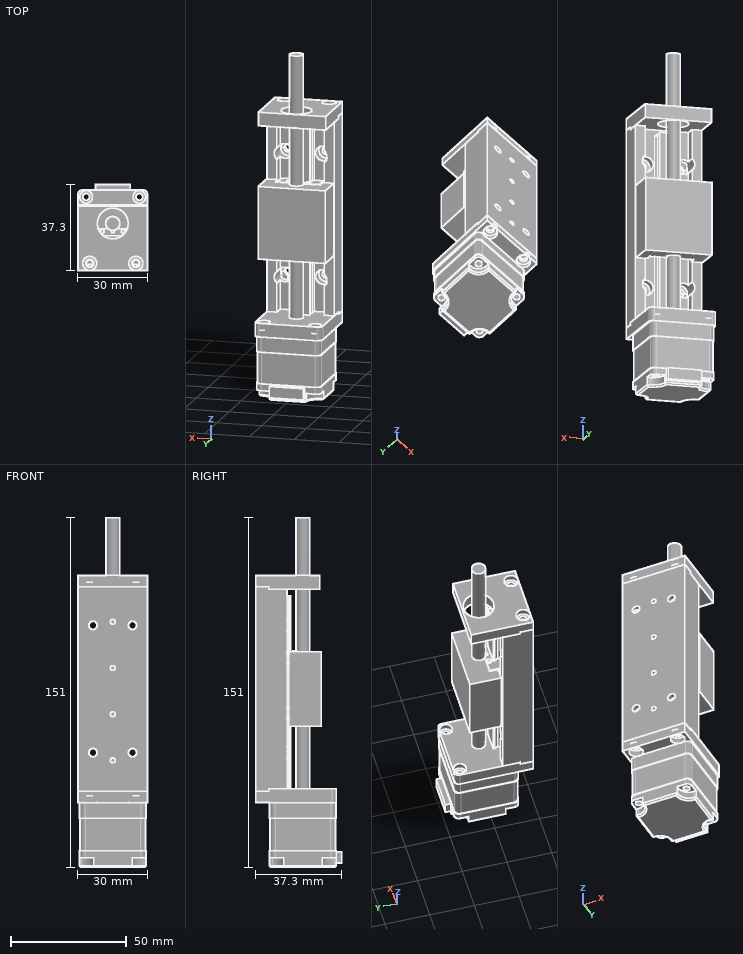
import cadquery as cq

FRAME_WIDTH = 30.0
FRAME_BOTTOM = 28.0
FRAME_TOP = 126.1
PLATE_THICKNESS = 6.0
STEP_HEIGHT = 1.0
STEP_DEPTH = 5.7
BASE_DEPTH = 13.6
BASE_BOTTOM = FRAME_BOTTOM + PLATE_THICKNESS - STEP_HEIGHT
BASE_TOP = FRAME_TOP - PLATE_THICKNESS + STEP_HEIGHT
BASE_MID = (BASE_BOTTOM + BASE_TOP) / 2
TOP_PLATE_DEPTH = 27.8

SCREW_Y = 20.4
SCREW_DIAMETER = 6.0
SCREW_TOP = 151.0
MOTOR_FLANGE_WIDTH = 28.8
MOTOR_CORE_WIDTH = 28.4
MOTOR_CORNER_RADIUS = 2.3
MOTOR_CAP_HEIGHT = 7.1
MOTOR_CORE_TOP = 21.1
MOTOR_EDGE_CHAMFER = 0.8
MOTOR_HOLE_SPACING = 23.0
MOTOR_HOLE_DIAMETER = 2.9
MOTOR_COUNTERBORE_DIAMETER = 5.5
NOTCH_HEIGHT = 4.1
NOTCH_DIAMETER = 10.0
NOTCH_CENTER = 13.3
CONNECTOR_WIDTH = 15.1
CONNECTOR_BACK = 37.3
CONNECTOR_BOTTOM = 1.8
CONNECTOR_TOP = 6.8

BOTTOM_PLATE_DEPTH = 34.9
BOTTOM_PLATE_CORNER_RADIUS = 2.0

CLEARANCE_DIAMETER = 3.5
PLATE_COUNTERBORE_DIAMETER = 6.0
PLATE_COUNTERBORE_DEPTH = 3.0
PLATE_HOLE_SPACING = 20.0
PLATE_HOLE_Y = 3.2
TAPPED_DIAMETER = 2.9
TOP_PLATE_OPENING_DIAMETER = 13.3

MOUNT_HOLE_SPACING_X = 17.0
MOUNT_HOLE_SPACING_Z = 55.0
MOUNT_HOLE_DIAMETER = 3.5
MOUNT_COUNTERBORE_DIAMETER = 6.5
MOUNT_SEAT_Y = 2.9
RAIL_SCREW_DIAMETER = 2.1
RAIL_SCREW_PITCH = 20.0
RAIL_SCREW_COUNT = 4
RAIL_SCREW_FIRST_Z = 46.2

CHANNEL_WIDTH = 21.1
RAIL_WIDTH = 9.0
RAIL_FLOOR_Y = 8.0
RAIL_TOP_Y = 15.1
RAIL_BOTTOM = FRAME_BOTTOM + PLATE_THICKNESS
RAIL_END = 117.3
RAIL_GROOVE_TOP_Y = 14.3
RAIL_GROOVE_BOTTOM_Y = 11.3
RAIL_GROOVE_DEPTH = 0.9

SLIDER_MID = 78.4
SLIDER_CORE_LENGTH = 19.0
SLIDER_CAPPED_LENGTH = 27.2
SLIDER_LENGTH = 29.0
SLIDER_CORE_WIDTH = 20.0
SLIDER_CAP_WIDTH = 19.3
SLIDER_SEAL_WIDTH = 18.7
SLIDER_BOTTOM_Y = 10.0
SLIDER_TOP_Y = 18.1
SEAL_FEATURE_Y = 16.9
SEAL_SCREW_SPACING = 9.0
SEAL_SCREW_DIAMETER = 1.7
SEAL_SCREW_HEIGHT = 0.8
OIL_HOLE_DIAMETER = 1.2
OIL_HOLE_DEPTH = 1.5

BLOCK_BOTTOM = 60.9
BLOCK_TOP = 93.2
BLOCK_FRONT_Y = 14.3
BLOCK_BACK_Y = 28.4


def box(width, y_front, y_back, z_bottom, z_top):
    """A block centred on the mid-plane."""
    return (
        cq.Workplane("XY")
        .box(width, y_back - y_front, z_top - z_bottom, centered=(True, False, False))
        .translate((0, y_front, z_bottom))
    )


def cylinder(diameter, x, y, z_bottom, z_top):
    """A round bar along Z."""
    return cq.Workplane("XY", origin=(x, y, z_bottom)).circle(diameter / 2).extrude(z_top - z_bottom)


def cylinder_y(diameter, x, z, y_front, y_back):
    """A round bar along Y."""
    return cq.Workplane("XZ", origin=(x, y_front, z)).circle(diameter / 2).extrude(y_front - y_back)


def mirrored_x(spacing):
    """The two X places of a symmetric pair."""
    return (-spacing / 2, spacing / 2)


def make_base():
    base = box(FRAME_WIDTH, 0, BASE_DEPTH, BASE_BOTTOM, BASE_TOP)
    base = base.cut(box(FRAME_WIDTH, STEP_DEPTH, BASE_DEPTH, BASE_BOTTOM, BASE_BOTTOM + STEP_HEIGHT))
    base = base.cut(box(FRAME_WIDTH, STEP_DEPTH, BASE_DEPTH, BASE_TOP - STEP_HEIGHT, BASE_TOP))
    base = base.cut(box(CHANNEL_WIDTH, RAIL_FLOOR_Y, BASE_DEPTH, BASE_BOTTOM, BASE_TOP))

    low_z = BASE_MID - MOUNT_HOLE_SPACING_Z / 2
    high_z = BASE_MID + MOUNT_HOLE_SPACING_Z / 2
    for x in mirrored_x(MOUNT_HOLE_SPACING_X):
        for z in (low_z, high_z):
            base = base.cut(cylinder_y(MOUNT_HOLE_DIAMETER, x, z, 0, MOUNT_SEAT_Y))
            base = base.cut(cylinder_y(MOUNT_COUNTERBORE_DIAMETER, x, z, MOUNT_SEAT_Y, BASE_DEPTH))

    for i in range(RAIL_SCREW_COUNT):
        z = RAIL_SCREW_FIRST_Z + i * RAIL_SCREW_PITCH
        base = base.cut(cylinder_y(RAIL_SCREW_DIAMETER, 0, z, 0, RAIL_FLOOR_Y))

    for x in mirrored_x(PLATE_HOLE_SPACING):
        base = base.cut(cylinder(TAPPED_DIAMETER, x, PLATE_HOLE_Y, BASE_BOTTOM, low_z))
        base = base.cut(cylinder(TAPPED_DIAMETER, x, PLATE_HOLE_Y, high_z, BASE_TOP))
    return base


def make_top_plate():
    step_z = FRAME_TOP - PLATE_THICKNESS
    plate = box(FRAME_WIDTH, 0, TOP_PLATE_DEPTH, step_z, FRAME_TOP)
    plate = plate.cut(box(FRAME_WIDTH, 0, STEP_DEPTH, step_z, BASE_TOP))
    plate = plate.cut(cylinder(TOP_PLATE_OPENING_DIAMETER, 0, SCREW_Y, step_z, FRAME_TOP))
    seat_z = FRAME_TOP - PLATE_COUNTERBORE_DEPTH
    for x in mirrored_x(PLATE_HOLE_SPACING):
        plate = plate.cut(cylinder(CLEARANCE_DIAMETER, x, PLATE_HOLE_Y, step_z, FRAME_TOP))
        plate = plate.cut(cylinder(PLATE_COUNTERBORE_DIAMETER, x, PLATE_HOLE_Y, seat_z, FRAME_TOP))
    return plate


def make_bottom_plate():
    top = FRAME_BOTTOM + PLATE_THICKNESS
    plate = box(FRAME_WIDTH, 0, BOTTOM_PLATE_DEPTH, FRAME_BOTTOM, top)
    plate = plate.edges("|Z and >Y").fillet(BOTTOM_PLATE_CORNER_RADIUS)
    plate = plate.cut(box(FRAME_WIDTH, 0, STEP_DEPTH, BASE_BOTTOM, top))
    plate = plate.cut(cylinder(SCREW_DIAMETER, 0, SCREW_Y, FRAME_BOTTOM, top))

    seat_z = FRAME_BOTTOM + PLATE_COUNTERBORE_DEPTH
    for x in mirrored_x(PLATE_HOLE_SPACING):
        plate = plate.cut(cylinder(CLEARANCE_DIAMETER, x, PLATE_HOLE_Y, FRAME_BOTTOM, top))
        plate = plate.cut(cylinder(PLATE_COUNTERBORE_DIAMETER, x, PLATE_HOLE_Y, FRAME_BOTTOM, seat_z))

    seat_z = top - PLATE_COUNTERBORE_DEPTH
    y = SCREW_Y + MOTOR_HOLE_SPACING / 2
    for x in mirrored_x(MOTOR_HOLE_SPACING):
        plate = plate.cut(cylinder(MOTOR_HOLE_DIAMETER, x, y, FRAME_BOTTOM, top))
        plate = plate.cut(cylinder(MOTOR_COUNTERBORE_DIAMETER, x, y, seat_z, top))
    return plate


def motor_section(width, z_bottom, z_top):
    """A square length of motor housing with rounded corners, centred on the screw."""
    section = box(width, SCREW_Y - width / 2, SCREW_Y + width / 2, z_bottom, z_top)
    return section.edges("|Z").fillet(MOTOR_CORNER_RADIUS)


def corner_notch():
    """The relief below the (+X, +Y) corner of the motor: a quarter round running out square."""
    radius = NOTCH_DIAMETER / 2
    inner = NOTCH_CENTER - radius
    outer = NOTCH_CENTER + radius
    return (
        cq.Workplane("XY")
        .moveTo(inner, outer)
        .lineTo(inner, NOTCH_CENTER)
        .radiusArc((NOTCH_CENTER, inner), -radius)
        .lineTo(outer, inner)
        .lineTo(outer, outer)
        .close()
        .extrude(NOTCH_HEIGHT)
    )


def make_motor():
    cap = motor_section(MOTOR_FLANGE_WIDTH, 0, MOTOR_CAP_HEIGHT)
    notch = corner_notch()
    for i in range(4):
        cap = cap.cut(notch.rotate((0, 0, 0), (0, 0, 1), 90 * i).translate((0, SCREW_Y, 0)))
    cap = cap.faces("<Z").chamfer(MOTOR_EDGE_CHAMFER)

    motor = cap.union(motor_section(MOTOR_CORE_WIDTH, MOTOR_CAP_HEIGHT, MOTOR_CORE_TOP))
    motor = motor.union(motor_section(MOTOR_FLANGE_WIDTH, MOTOR_CORE_TOP, FRAME_BOTTOM))
    motor = motor.union(box(CONNECTOR_WIDTH, SCREW_Y, CONNECTOR_BACK, CONNECTOR_BOTTOM, CONNECTOR_TOP))
    for x in mirrored_x(MOTOR_HOLE_SPACING):
        for y in (SCREW_Y - MOTOR_HOLE_SPACING / 2, SCREW_Y + MOTOR_HOLE_SPACING / 2):
            motor = motor.cut(cylinder(MOTOR_HOLE_DIAMETER, x, y, 0, FRAME_BOTTOM))

    return motor.union(cylinder(SCREW_DIAMETER, 0, SCREW_Y, MOTOR_CORE_TOP, SCREW_TOP))


def make_rail():
    half = RAIL_WIDTH / 2
    groove_mid_y = (RAIL_GROOVE_TOP_Y + RAIL_GROOVE_BOTTOM_Y) / 2
    right_side = [
        (half, RAIL_FLOOR_Y),
        (half, RAIL_GROOVE_BOTTOM_Y),
        (half - RAIL_GROOVE_DEPTH, groove_mid_y),
        (half, RAIL_GROOVE_TOP_Y),
        (half, RAIL_TOP_Y),
    ]
    left_side = [(-x, y) for x, y in reversed(right_side)]
    return (
        cq.Workplane("XY", origin=(0, 0, RAIL_BOTTOM))
        .polyline(right_side + left_side)
        .close()
        .extrude(RAIL_END - RAIL_BOTTOM)
    )


def slider_section(width, length):
    """A length of slider, centred along its travel."""
    return box(width, SLIDER_BOTTOM_Y, SLIDER_TOP_Y, SLIDER_MID - length / 2, SLIDER_MID + length / 2)


def make_slider(rail):
    slider = slider_section(SLIDER_CORE_WIDTH, SLIDER_CORE_LENGTH)
    slider = slider.union(slider_section(SLIDER_CAP_WIDTH, SLIDER_CAPPED_LENGTH))
    slider = slider.union(slider_section(SLIDER_SEAL_WIDTH, SLIDER_LENGTH))

    bottom = SLIDER_MID - SLIDER_LENGTH / 2
    top = SLIDER_MID + SLIDER_LENGTH / 2
    head_bottom = bottom - SEAL_SCREW_HEIGHT
    head_top = top + SEAL_SCREW_HEIGHT
    for x in mirrored_x(SEAL_SCREW_SPACING):
        slider = slider.union(cylinder(SEAL_SCREW_DIAMETER, x, SEAL_FEATURE_Y, head_bottom, head_top))
    slider = slider.cut(cylinder(OIL_HOLE_DIAMETER, 0, SEAL_FEATURE_Y, bottom, bottom + OIL_HOLE_DEPTH))
    slider = slider.cut(cylinder(OIL_HOLE_DIAMETER, 0, SEAL_FEATURE_Y, top - OIL_HOLE_DEPTH, top))

    slider = slider.cut(rail)
    return slider.cut(cylinder(SCREW_DIAMETER, 0, SCREW_Y, bottom, top))


def make_nut_block():
    block = box(FRAME_WIDTH, BLOCK_FRONT_Y, BLOCK_BACK_Y, BLOCK_BOTTOM, BLOCK_TOP)
    block = block.cut(box(SLIDER_CORE_WIDTH, BLOCK_FRONT_Y, SLIDER_TOP_Y, BLOCK_BOTTOM, BLOCK_TOP))
    return block.cut(cylinder(SCREW_DIAMETER, 0, SCREW_Y, BLOCK_BOTTOM, BLOCK_TOP))


base = make_base()
top_plate = make_top_plate()
bottom_plate = make_bottom_plate()
motor = make_motor()
rail = make_rail()
slider = make_slider(rail)
nut_block = make_nut_block()

result = cq.Compound.makeCompound(
    [
        base.val(),
        top_plate.val(),
        bottom_plate.val(),
        motor.val(),
        rail.val(),
        slider.val(),
        nut_block.val(),
    ]
)